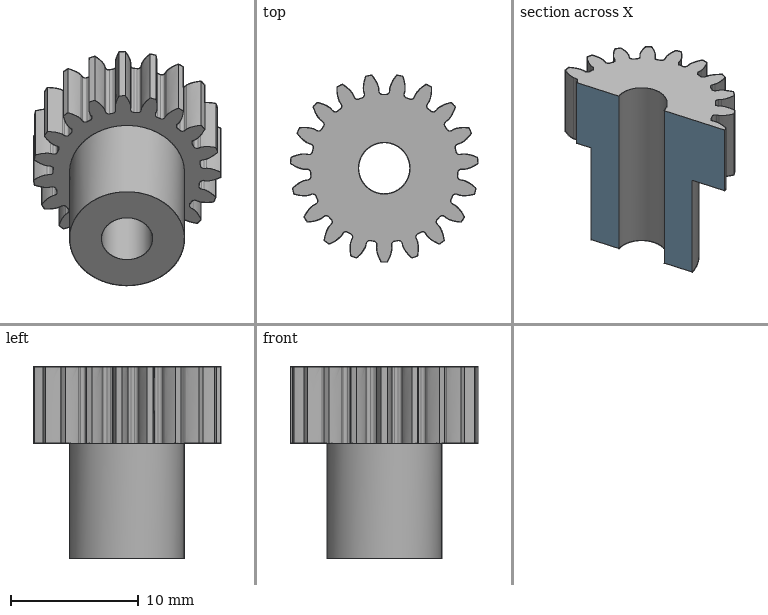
import cadquery as cq
import math

MODULE = 0.7
TEETH = 19
PRESSURE_ANGLE = math.radians(20)
DEDENDUM_FACTOR = 1.25
ROOT_FILLET_FACTOR = 0.38

GEAR_WIDTH = 6.0
HUB_LENGTH = 9.0
HUB_DIAMETER = 9.0
BORE_DIAMETER = 4.0

PITCH_RADIUS = MODULE * TEETH / 2
TIP_RADIUS = PITCH_RADIUS + MODULE
ROOT_RADIUS = PITCH_RADIUS - DEDENDUM_FACTOR * MODULE
BASE_RADIUS = PITCH_RADIUS * math.cos(PRESSURE_ANGLE)
ROOT_FILLET = ROOT_FILLET_FACTOR * MODULE
TOOTH_PITCH = 2 * math.pi / TEETH
FIRST_TOOTH_ANGLE = -math.pi / 2
FLANK_POINTS = 6


def involute(radius):
    """Polar angle swept by the involute between the base circle and a radius."""
    pressure = math.acos(BASE_RADIUS / radius)
    return math.tan(pressure) - pressure


def half_tooth_angle(radius):
    """Half the angular thickness of a tooth at a radius on its involute flank."""
    return TOOTH_PITCH / 4 + involute(PITCH_RADIUS) - involute(radius)


def polar(radius, angle):
    """Cartesian point at a radius and angle about the gear axis."""
    return (radius * math.cos(angle), radius * math.sin(angle))


def gear_outline():
    """Closed tooth outline: root arc, radial foot, involute, tip arc, involute, radial foot."""
    flank_step = (TIP_RADIUS - BASE_RADIUS) / (FLANK_POINTS - 1)
    flank_radii = [BASE_RADIUS + i * flank_step for i in range(FLANK_POINTS)]
    foot = half_tooth_angle(BASE_RADIUS)

    outline = cq.Workplane("XY").moveTo(*polar(ROOT_RADIUS, FIRST_TOOTH_ANGLE - foot))
    for tooth in range(TEETH):
        center = FIRST_TOOTH_ANGLE + tooth * TOOTH_PITCH
        rising = [polar(r, center - half_tooth_angle(r)) for r in flank_radii]
        falling = [polar(r, center + half_tooth_angle(r)) for r in reversed(flank_radii)]
        outline = (
            outline.lineTo(*rising[0])
            .spline(rising[1:], includeCurrent=True)
            .threePointArc(polar(TIP_RADIUS, center), falling[0])
            .spline(falling[1:], includeCurrent=True)
            .lineTo(*polar(ROOT_RADIUS, center + foot))
            .threePointArc(
                polar(ROOT_RADIUS, center + TOOTH_PITCH / 2),
                polar(ROOT_RADIUS, center + TOOTH_PITCH - foot),
            )
        )
    return outline.close()


def toothed_rim():
    """Toothed disc with the corners between tooth feet and root circle rounded."""
    rim = gear_outline().extrude(GEAR_WIDTH)
    foot_limit = (ROOT_RADIUS + BASE_RADIUS) / 2
    root_edges = [
        edge
        for edge in rim.edges("|Z").vals()
        if math.hypot(edge.Center().x, edge.Center().y) < foot_limit
    ]
    return rim.newObject(root_edges).fillet(ROOT_FILLET)


def hub():
    """Plain cylinder below the toothed disc."""
    return cq.Workplane("XY").circle(HUB_DIAMETER / 2).extrude(-HUB_LENGTH)


def bore():
    """Cylinder that opens the part from end to end."""
    length = GEAR_WIDTH + HUB_LENGTH
    return cq.Workplane("XY", origin=(0, 0, -HUB_LENGTH)).circle(BORE_DIAMETER / 2).extrude(length)


result = toothed_rim().union(hub()).cut(bore())